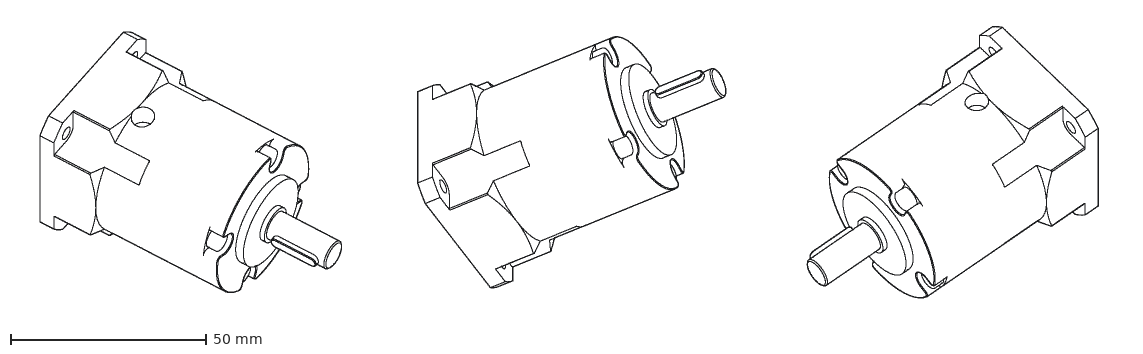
import cadquery as cq
import math


body_width = 42.0
body_radius = body_width / 2
corner_radius = 27.0
plate_thickness = 4.4
square_end = 17.35
taper_angle = 30
adapter_end = 28.0
housing_end = 54.9
housing_chamfer = 0.2

mount_offset = 15.35
mount_hole_diameter = 3.5
notch_wall = 12.2
notch_chamfer = 0.3

access_x = 20.0
access_y = -3.45
access_diameter = 6.0
access_depth = 6.0

screw_count = 4
screw_spacing = 360 / screw_count
first_screw_angle = 20
screw_circle_radius = 17.7
pocket_width = 6.0
pocket_floor = 50.5
pocket_lip_radius = 1.15
head_diameter = 5.5
head_height = 3.0
head_rounding = 0.45

pilot_diameter = 25.0
pilot_end = 57.25
collar_diameter = 10.0
collar_end = 58.6
shaft_diameter = 8.0
shaft_end = 76.7
shaft_chamfer = 0.4

key_width = 3.0
key_length = 14.0
key_center_x = 67.7
key_top = 5.2
key_chamfer = 0.2


def cross_section(x):
    """Workplane across the axis: local x is +Y and local y is +Z."""
    return cq.Workplane("YZ", origin=(x, 0, 0))


def rod(diameter, start, end):
    return cross_section(start).circle(diameter / 2).extrude(end - start)


def make_housing():
    taper_length = (corner_radius - body_radius) * math.tan(math.radians(taper_angle))
    envelope = (
        cq.Workplane("XY")
        .polyline([
            (0, 0),
            (0, corner_radius),
            (square_end - taper_length, corner_radius),
            (square_end, body_radius),
            (housing_end, body_radius),
            (housing_end, 0),
        ])
        .close()
        .revolve(360, (0, 0, 0), (1, 0, 0))
    )
    square_bar = cross_section(0).rect(body_width, body_width).extrude(housing_end)
    return envelope.intersect(square_bar)


def make_corner_notch():
    """Notch at the +Y +Z corner, rounded around the mounting hole and flared at the outside."""
    round_radius = mount_offset - notch_wall
    round_middle = mount_offset - round_radius / math.sqrt(2)
    return (
        cross_section(plate_thickness)
        .moveTo(notch_wall, mount_offset)
        .threePointArc((round_middle, round_middle), (mount_offset, notch_wall))
        .lineTo(body_radius - notch_chamfer, notch_wall)
        .lineTo(body_radius, notch_wall - notch_chamfer)
        .lineTo(body_radius, body_radius)
        .lineTo(notch_wall - notch_chamfer, body_radius)
        .lineTo(notch_wall, body_radius - notch_chamfer)
        .close()
        .extrude(adapter_end - plate_thickness)
    )


def make_mount_holes():
    spacing = 2 * mount_offset
    return (
        cross_section(0)
        .rect(spacing, spacing, forConstruction=True)
        .vertices()
        .circle(mount_hole_diameter / 2)
        .extrude(plate_thickness)
    )


def make_screw_pocket():
    """Pocket on the -Y side: round inner end, open outward between two rounded lips."""
    half_width = pocket_width / 2
    lip_side = half_width + pocket_lip_radius
    lip_center_radius = body_radius - pocket_lip_radius
    lip_depth = math.sqrt(lip_center_radius ** 2 - lip_side ** 2)
    lip_angle = math.asin(lip_side / lip_center_radius)
    middle_angle = (lip_angle - math.pi / 2) / 2
    middle_depth = lip_depth + pocket_lip_radius * math.cos(middle_angle)
    middle_side = lip_side + pocket_lip_radius * math.sin(middle_angle)
    mouth_depth = body_radius * math.cos(lip_angle)
    mouth_side = body_radius * math.sin(lip_angle)
    return (
        cross_section(pocket_floor)
        .moveTo(-screw_circle_radius, half_width)
        .lineTo(-lip_depth, half_width)
        .threePointArc((-middle_depth, middle_side), (-mouth_depth, mouth_side))
        .threePointArc((-body_radius, 0), (-mouth_depth, -mouth_side))
        .threePointArc((-middle_depth, -middle_side), (-lip_depth, -half_width))
        .lineTo(-screw_circle_radius, -half_width)
        .threePointArc((half_width - screw_circle_radius, 0), (-screw_circle_radius, half_width))
        .close()
        .extrude(housing_end - pocket_floor)
    )


def make_screw_head():
    return (
        rod(head_diameter, pocket_floor, pocket_floor + head_height)
        .faces(">X")
        .edges()
        .fillet(head_rounding)
        .translate((0, -screw_circle_radius, 0))
    )


def make_key():
    return (
        cq.Workplane("XZ", origin=(key_center_x, 0, 0))
        .slot2D(key_length, key_width)
        .extrude(key_top)
        .faces("<Y")
        .edges()
        .chamfer(key_chamfer)
    )


def turn(shape, angle):
    """Turn about the part axis; positive angles carry -Y toward +Z."""
    return shape.rotate((0, 0, 0), (1, 0, 0), -angle)


result = make_housing()
for corner_angle in (0, 90, 180, 270):
    result = result.cut(turn(make_corner_notch(), corner_angle))
result = result.cut(make_mount_holes())

access_hole = (
    cq.Workplane("XY", origin=(access_x, access_y, body_radius))
    .circle(access_diameter / 2)
    .extrude(-access_depth)
)
result = result.cut(access_hole)

for screw in range(screw_count):
    result = result.cut(turn(make_screw_pocket(), first_screw_angle + screw_spacing * screw))
result = result.faces(">X").edges().chamfer(housing_chamfer)
for screw in range(screw_count):
    result = result.union(turn(make_screw_head(), first_screw_angle + screw_spacing * screw))

shaft = rod(shaft_diameter, housing_end, shaft_end).faces(">X").edges().chamfer(shaft_chamfer)
result = (
    result
    .union(rod(pilot_diameter, housing_end, pilot_end))
    .union(rod(collar_diameter, pilot_end, collar_end))
    .union(shaft)
    .union(make_key())
)